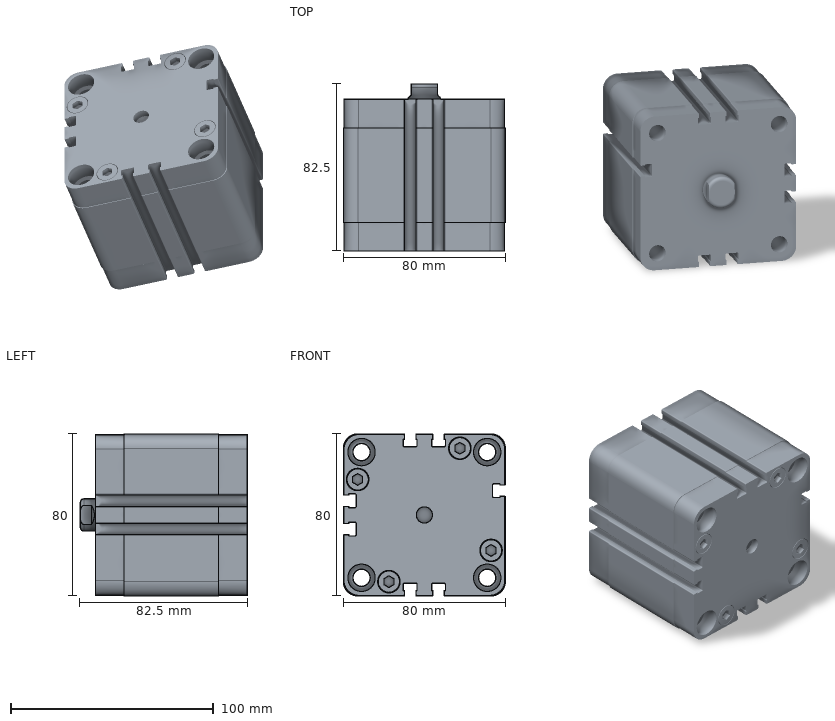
import cadquery as cq
import math

BODY_WIDTH = 80.0
CAP_WIDTH = 79.3
CORNER_RADIUS = 7.2
BLOCK_LENGTH = 75.0
CAP_LENGTH = 14.2
BODY_LENGTH = BLOCK_LENGTH - 2 * CAP_LENGTH
FRONT_Y = 0.0

SLOT_OFFSET = 7.0
SINGLE_SLOT_OFFSET = 12.0
SLOT_MOUTH_WIDTH = 5.5
SLOT_INNER_WIDTH = 6.7
SLOT_LIP = 2.7
SLOT_DEPTH = 6.3
SLOT_EDGE_RADIUS = 0.5

TOP_SIDE = 0
RIGHT_SIDE = 90
BOTTOM_SIDE = 180
LEFT_SIDE = 270

MOUNT_OFFSET = 31.0
MOUNT_DIAMETER = 8.38
MOUNT_BORE_DIAMETER = 13.5
MOUNT_BORE_DEPTH = 8.5

SCREW_LONG_OFFSET = 32.9
SCREW_SHORT_OFFSET = 17.5
SCREW_RECESS_DIAMETER = 11.1
SCREW_HEAD_DIAMETER = 10.5
SCREW_GAP_DEPTH = 5.0
HEX_ACROSS_FLATS = 5.0
HEX_SIDES = 6
HEX_DEPTH = 3.0

CENTRE_HOLE_DIAMETER = 8.0
CENTRE_HOLE_DEPTH = 4.0

ROD_DIAMETER = 16.0
ROD_LENGTH = 7.5
ROD_TIP_RADIUS = 1.8
FLATS_WIDTH = 13.0
FLATS_LENGTH = 5.5


def along_y(start_y):
    """Workplane on the plane y = start_y, extruding toward +Y; local axes are X and -Z."""
    return cq.Workplane(cq.Plane(origin=(0, start_y, 0), xDir=(1, 0, 0), normal=(0, 1, 0)))


def on_face(x, z):
    """Local coordinates of the point (x, z) on an along_y workplane."""
    return (x, -z)


def slot_cutter(width, offset, start_y, length):
    """T-shaped slot cutter for the +Z side of a bar of this width, its centre plane at x = offset.

    The mouth edges are rounded outward and the two floor corners are rounded.
    """
    surface = width / 2
    floor = BODY_WIDTH / 2 - SLOT_DEPTH
    lip = BODY_WIDTH / 2 - SLOT_LIP
    mouth = SLOT_MOUTH_WIDTH / 2
    inner = SLOT_INNER_WIDTH / 2
    r = SLOT_EDGE_RADIUS

    half = (
        along_y(start_y)
        .moveTo(*on_face(offset, floor))
        .lineTo(*on_face(offset + inner - r, floor))
        .radiusArc(on_face(offset + inner, floor + r), r)
        .lineTo(*on_face(offset + inner, lip))
        .lineTo(*on_face(offset + mouth, lip))
        .lineTo(*on_face(offset + mouth, surface - r))
        .radiusArc(on_face(offset + mouth + r, surface), -r)
        .lineTo(*on_face(offset, surface))
        .close()
        .extrude(length)
    )
    return half.union(half.mirror("YZ", (offset, 0, 0)))


def profile_bar(width, start_y, length):
    """Length of the square profile with rounded corners and all of its sensor slots."""
    bar = along_y(start_y).rect(width, width).extrude(length)
    bar = bar.edges("|Y").fillet(CORNER_RADIUS)
    slots = [(RIGHT_SIDE, -SINGLE_SLOT_OFFSET)]
    for turn in (TOP_SIDE, BOTTOM_SIDE, LEFT_SIDE):
        slots.append((turn, -SLOT_OFFSET))
        slots.append((turn, SLOT_OFFSET))
    for turn, offset in slots:
        cutter = slot_cutter(width, offset, start_y, length)
        bar = bar.cut(cutter.rotate((0, 0, 0), (0, 1, 0), turn))
    return bar


def make_block():
    body_y = FRONT_Y + CAP_LENGTH
    front_cap = profile_bar(CAP_WIDTH, FRONT_Y, CAP_LENGTH)
    body = profile_bar(BODY_WIDTH, body_y, BODY_LENGTH)
    rear_cap = profile_bar(CAP_WIDTH, body_y + BODY_LENGTH, CAP_LENGTH)
    return front_cap.union(body).union(rear_cap)


def cut_mounting_holes(block):
    spacing = 2 * MOUNT_OFFSET
    holes = along_y(FRONT_Y).rect(spacing, spacing, forConstruction=True).vertices()
    holes = holes.circle(MOUNT_DIAMETER / 2).extrude(BLOCK_LENGTH)
    bores = along_y(FRONT_Y).rect(spacing, spacing, forConstruction=True).vertices()
    bores = bores.circle(MOUNT_BORE_DIAMETER / 2).extrude(MOUNT_BORE_DEPTH)
    return block.cut(holes).cut(bores)


def cut_screws(block):
    """Leave each screw head standing in its recess, with a hexagon socket."""
    far = SCREW_LONG_OFFSET
    near = SCREW_SHORT_OFFSET
    points = [on_face(x, z) for x, z in ((-far, near), (near, far), (far, -near), (-near, -far))]
    gaps = along_y(FRONT_Y).pushPoints(points).circle(SCREW_RECESS_DIAMETER / 2)
    gaps = gaps.circle(SCREW_HEAD_DIAMETER / 2).extrude(SCREW_GAP_DEPTH)
    hex_across_corners = HEX_ACROSS_FLATS / math.cos(math.pi / HEX_SIDES)
    for x, y in points:
        socket = along_y(FRONT_Y).center(x, y).transformed(rotate=(0, 0, 90))
        block = block.cut(socket.polygon(HEX_SIDES, hex_across_corners).extrude(HEX_DEPTH))
    return block.cut(gaps)


def cut_centre_hole(block):
    return block.cut(along_y(FRONT_Y).circle(CENTRE_HOLE_DIAMETER / 2).extrude(CENTRE_HOLE_DEPTH))


def make_rod():
    base_y = FRONT_Y + BLOCK_LENGTH
    tip_y = base_y + ROD_LENGTH
    radius = ROD_DIAMETER / 2
    half_flats = FLATS_WIDTH / 2
    flats_y = tip_y - FLATS_LENGTH
    ramp = radius - half_flats

    rod = along_y(base_y).circle(radius).extrude(ROD_LENGTH)
    rod = rod.faces(">Y").edges().fillet(ROD_TIP_RADIUS)

    envelope = (
        cq.Workplane("XY")
        .moveTo(-radius, base_y)
        .lineTo(radius, base_y)
        .lineTo(radius, flats_y - ramp)
        .lineTo(half_flats, flats_y)
        .lineTo(half_flats, tip_y)
        .lineTo(-half_flats, tip_y)
        .lineTo(-half_flats, flats_y)
        .lineTo(-radius, flats_y - ramp)
        .close()
        .extrude(radius, both=True)
    )
    return rod.intersect(envelope)


block = make_block()
block = cut_mounting_holes(block)
block = cut_screws(block)
block = cut_centre_hole(block)
result = block.union(make_rod())